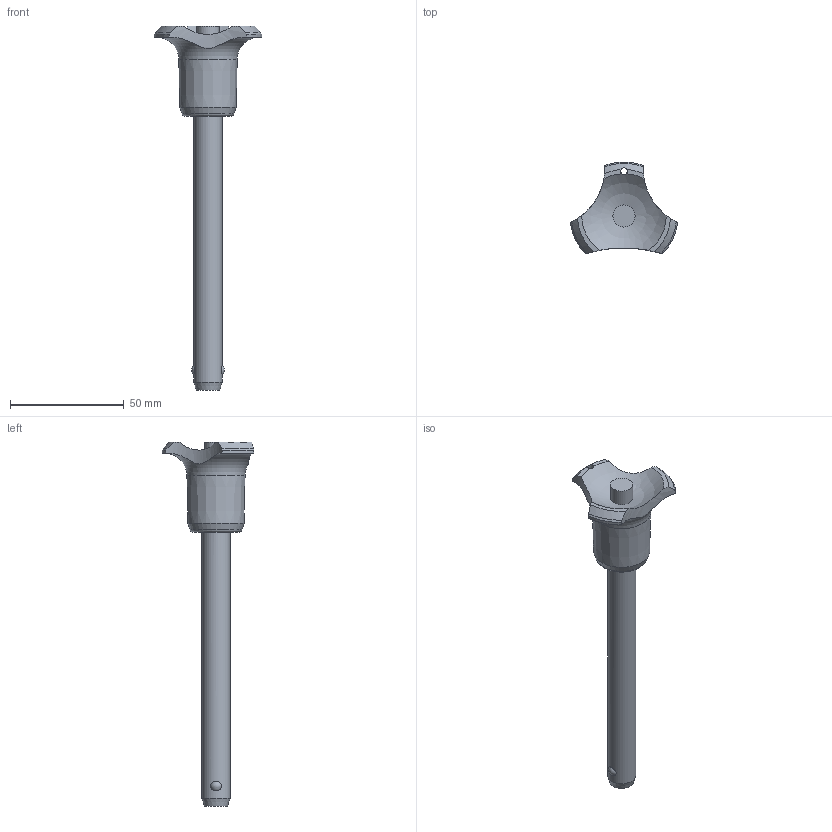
import cadquery as cq
import math


shank_radius = 6.2
shank_length = 120.65
tip_radius = 5.2
tip_length = 3.4

ball_radius = 2.6
ball_protrusion = 1.0
ball_height = -111.9

handle_height = 39.65
base_radius = 10.3
base_round_radius = 11.4
base_round_height = 0.95
body_bottom_radius = 12.4
body_bottom_height = 3.8
body_top_radius = 12.85
body_top_height = 25.0

flare_radius = 9.7
rim_radius = 23.8
rim_land_height = 36.0
rim_shoulder_radius = 23.2
rim_shoulder_height = 36.8
rim_top_outer_radius = 20.5
rim_top_inner_radius = 18.6

dish_sphere_radius = 26.0
button_radius = 4.9

lobe_half_width = 8.5
side_corner_angle = -6.75
lower_corner_angle = -44.56
side_cut_angle = 33.5
side_cut_reach = 14.3
lower_cut_reach = 14.1
cut_overshoot = 20.0

lanyard_hole_radius = 1.5
lanyard_hole_offset = 19.7


def on_circle(radius, angle):
    """Point at a polar angle in degrees."""
    a = math.radians(angle)
    return (radius * math.cos(a), radius * math.sin(a))


def revolve_profile(profile):
    """Full turn about Z of an XZ profile whose sketch Y is the part's Z."""
    return profile.close().revolve(360, (0, 0, 0), (0, 1, 0))


def make_shank():
    profile = (
        cq.Workplane("XZ")
        .moveTo(0, -shank_length)
        .lineTo(tip_radius, -shank_length)
        .lineTo(shank_radius, -shank_length + tip_length)
        .lineTo(shank_radius, body_bottom_height)
        .lineTo(0, body_bottom_height)
    )
    return revolve_profile(profile)


def make_balls():
    offset = shank_radius + ball_protrusion - ball_radius
    return (
        cq.Workplane("XY", origin=(0, 0, ball_height))
        .pushPoints([(-offset, 0), (offset, 0)])
        .sphere(ball_radius)
    )


def make_handle_blank():
    """Turned handle: tapered body sweeping out through an arc to the rim."""
    flare_center_radius = body_top_radius + flare_radius
    flare_top_height = body_top_height + flare_radius
    mid_x, mid_z = on_circle(flare_radius, 135)
    flare_mid = (flare_center_radius + mid_x, body_top_height + mid_z)
    profile = (
        cq.Workplane("XZ")
        .lineTo(base_radius, 0)
        .tangentArcPoint((base_round_radius, base_round_height), relative=False)
        .lineTo(body_bottom_radius, body_bottom_height)
        .lineTo(body_top_radius, body_top_height)
        .threePointArc(flare_mid, (flare_center_radius, flare_top_height))
        .lineTo(rim_radius, flare_top_height)
        .lineTo(rim_radius, rim_land_height)
        .lineTo(rim_shoulder_radius, rim_shoulder_height)
        .lineTo(rim_top_outer_radius, handle_height)
        .lineTo(0, handle_height)
    )
    return revolve_profile(profile)


def make_dish():
    center_drop = math.sqrt(dish_sphere_radius**2 - rim_top_inner_radius**2)
    center = (0, 0, handle_height + center_drop)
    return cq.Workplane("XY", origin=center).sphere(dish_sphere_radius)


def make_lobe_cut(start, middle, end, direction):
    """Full-height cutter bounded inside by an arc and open towards direction."""
    shift_x, shift_y = on_circle(cut_overshoot, direction)
    return (
        cq.Workplane("XY", origin=(0, 0, body_top_height))
        .moveTo(*start)
        .threePointArc(middle, end)
        .lineTo(end[0] + shift_x, end[1] + shift_y)
        .lineTo(start[0] + shift_x, start[1] + shift_y)
        .close()
        .extrude(handle_height - body_top_height)
    )


def make_lobe_cuts():
    upper_corner = (lobe_half_width, math.sqrt(rim_radius**2 - lobe_half_width**2))
    right_cut = make_lobe_cut(
        upper_corner,
        on_circle(side_cut_reach, side_cut_angle),
        on_circle(rim_radius, side_corner_angle),
        side_cut_angle,
    )
    lower_cut = make_lobe_cut(
        on_circle(rim_radius, lower_corner_angle),
        (0, -lower_cut_reach),
        on_circle(rim_radius, 180 - lower_corner_angle),
        -90,
    )
    return right_cut.union(right_cut.mirror("YZ")).union(lower_cut)


def make_lanyard_hole():
    return (
        cq.Workplane("XY", origin=(0, lanyard_hole_offset, body_top_height))
        .circle(lanyard_hole_radius)
        .extrude(handle_height - body_top_height)
    )


def make_button():
    return (
        cq.Workplane("XY", origin=(0, 0, body_top_height))
        .circle(button_radius)
        .extrude(handle_height - body_top_height)
    )


handle = make_handle_blank().cut(make_dish()).cut(make_lobe_cuts()).cut(make_lanyard_hole())
result = handle.union(make_button()).union(make_shank()).union(make_balls())